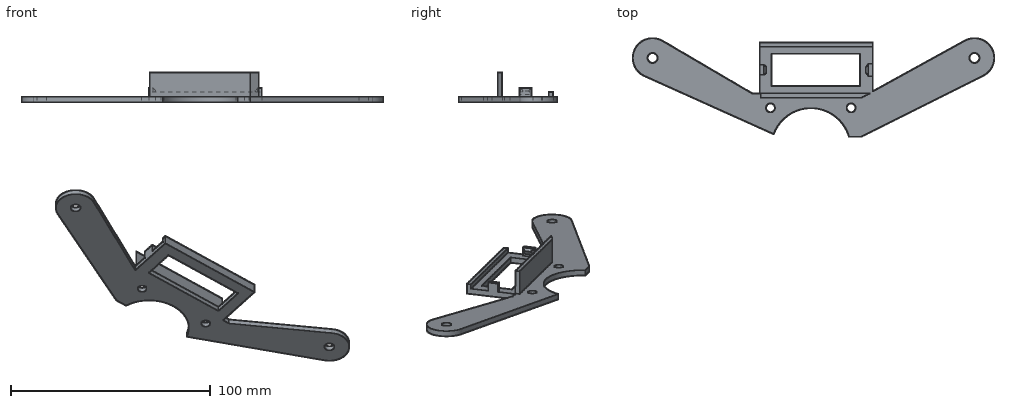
import cadquery as cq
import math

plate_thickness = 2.9
end_radius = 10.0
end_x = 90.5 - end_radius
end_y = 39.5
end_hole_diameter = 4.9

scallop_left = (-19.9, 1.3)
scallop_top = (-1.3, 14.3)
scallop_right = (17.7, 0.0)
lower_right_corner = (23.9, 0.0)
upper_left_corner = (-30.5, 21.7)
upper_right_corner = (29.7, 22.8)
middle_hole_diameter = 4.3
middle_hole_y = 14.5
middle_hole_xs = (-21.5, 18.8)

frame_left = -27.0
frame_right = upper_right_corner[0]
frame_back = 47.2
frame_front = upper_left_corner[1]
window_left = -21.0
window_right = 23.2
window_front = 25.5
window_back = 41.5

wall_thickness = 2.2
wall_top = 15.0
wall_left = -26.5
wall_front_right = lower_right_corner[0]
wall_back_right = 28.2
lip_width = 2.2
lip_top = 5.2
clip_y = 33.5
clip_top = 7.2
clip_thickness = 2.2
left_clip_width = 5.0
right_clip_width = 6.2
nub_reach = 1.3
nub_tip_width = 2.9
nub_bottom = 4.0
nub_tip_height = 6.0


def tangent_point(corner, center, radius, turn):
    """Point where a line from corner touches a circle; turn (+1 or -1) picks the side."""
    dx = corner[0] - center[0]
    dy = corner[1] - center[1]
    angle = math.atan2(dy, dx) + turn * math.acos(radius / math.hypot(dx, dy))
    return (center[0] + radius * math.cos(angle), center[1] + radius * math.sin(angle))


def box_between(x_min, x_max, y_min, y_max, z_min, z_max):
    size = (x_max - x_min, y_max - y_min, z_max - z_min)
    return cq.Workplane("XY").box(*size, centered=False).translate((x_min, y_min, z_min))


def make_plate():
    left_end = (-end_x, end_y)
    right_end = (end_x, end_y)
    return (
        cq.Workplane("XY")
        .moveTo(*scallop_left)
        .threePointArc(scallop_top, scallop_right)
        .lineTo(*lower_right_corner)
        .lineTo(*tangent_point(lower_right_corner, right_end, end_radius, 1))
        .threePointArc(
            (end_x + end_radius, end_y),
            tangent_point(upper_right_corner, right_end, end_radius, -1),
        )
        .lineTo(*upper_right_corner)
        .lineTo(frame_right, frame_front)
        .lineTo(*upper_left_corner)
        .lineTo(*tangent_point(upper_left_corner, left_end, end_radius, 1))
        .threePointArc(
            (-end_x - end_radius, end_y),
            tangent_point(scallop_left, left_end, end_radius, -1),
        )
        .close()
        .extrude(plate_thickness)
    )


def make_holes():
    end_points = [(-end_x, end_y), (end_x, end_y)]
    middle_points = [(x, middle_hole_y) for x in middle_hole_xs]
    holes = cq.Workplane("XY").pushPoints(end_points).circle(end_hole_diameter / 2).extrude(plate_thickness)
    return holes.union(
        cq.Workplane("XY").pushPoints(middle_points).circle(middle_hole_diameter / 2).extrude(plate_thickness)
    )


def make_frame():
    frame = box_between(frame_left, frame_right, frame_front, frame_back, 0, plate_thickness)
    window = box_between(window_left, window_right, window_front, window_back, 0, plate_thickness)
    lip = box_between(frame_left, frame_right, frame_back - lip_width, frame_back, 0, lip_top)
    return frame.cut(window).union(lip)


def make_wall():
    """Tall front wall whose right end is cut at a slant."""
    outline = [
        (wall_left, frame_front),
        (wall_left, frame_front - wall_thickness),
        (wall_front_right, frame_front - wall_thickness),
        (wall_back_right, frame_front),
    ]
    return cq.Workplane("XY").polyline(outline).close().extrude(wall_top)


def make_clip(outer_x, inward, width):
    """Post with a snap nub; inward is the X direction from the frame side to the window."""
    post_x = outer_x + inward * clip_thickness
    tip_x = post_x + inward * nub_reach
    plan = [
        (outer_x, clip_y - width / 2),
        (post_x, clip_y - width / 2),
        (tip_x, clip_y - nub_tip_width / 2),
        (tip_x, clip_y + nub_tip_width / 2),
        (post_x, clip_y + width / 2),
        (outer_x, clip_y + width / 2),
    ]
    profile = [
        (outer_x, 0),
        (post_x, 0),
        (post_x, nub_bottom),
        (tip_x, nub_tip_height),
        (post_x, clip_top),
        (outer_x, clip_top),
    ]
    full_height = cq.Workplane("XY").polyline(plan).close().extrude(clip_top)
    side_shape = cq.Workplane("XZ", origin=(0, clip_y, 0)).polyline(profile).close()
    return full_height.intersect(side_shape.extrude(width / 2, both=True))


plate = make_plate().union(make_frame()).cut(make_holes())
left_clip = make_clip(frame_left, 1, left_clip_width)
right_clip = make_clip(frame_right, -1, right_clip_width)
result = plate.union(make_wall()).union(left_clip).union(right_clip)